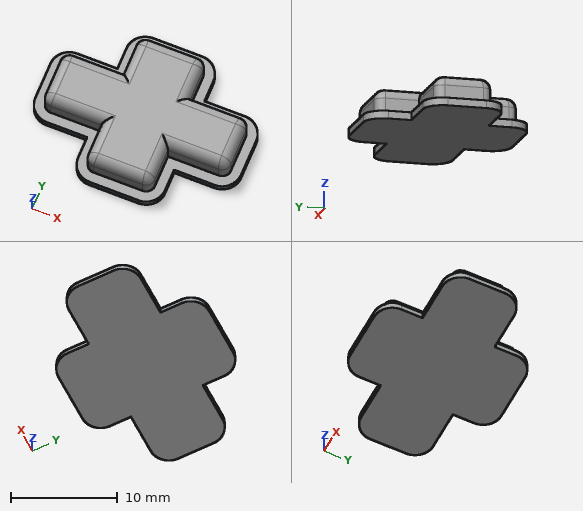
import cadquery as cq

length_x = 20.8
length_y = 15.8
x_arm_width = 7.55
y_arm_width = 8.8
flange_thickness = 0.75

total_height = 3.25
flange_margin = 1.05
button_corner_radius = 0.87
top_fillet_radius = 1.0

flange_corner_radius = button_corner_radius + flange_margin


def cross(inset, height, corner_radius):
    """Cross on the base plane, inset all round, with its outer corners rounded."""
    half_x = length_x / 2 - inset
    half_y = length_y / 2 - inset
    x_arm = cq.Workplane("XY").box(
        2 * half_x, x_arm_width - 2 * inset, height, centered=(True, True, False)
    )
    y_arm = cq.Workplane("XY").box(
        y_arm_width - 2 * inset, 2 * half_y, height, centered=(True, True, False)
    )
    x_arm = x_arm.edges("|Z").fillet(corner_radius)
    y_arm = y_arm.edges("|Z").fillet(corner_radius)
    return x_arm.union(y_arm)


flange = cross(0, flange_thickness, flange_corner_radius)
button = cross(flange_margin, total_height, button_corner_radius)
button = button.faces(">Z").edges().fillet(top_fillet_radius)

result = flange.union(button)